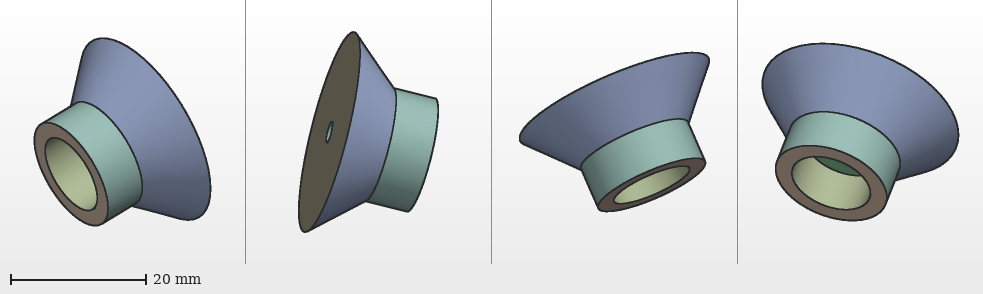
import cadquery as cq

flange_diameter = 30.48
total_length = 14.17

collar_diameter = 17.28
collar_length = 6.52
socket_diameter = 12.2
socket_depth = collar_length

through_hole_diameter = 3.17


def make_body():
    """Collar that flares in a straight cone to the flat back face."""
    half_profile = [
        (0, 0),
        (collar_diameter / 2, 0),
        (collar_diameter / 2, collar_length),
        (flange_diameter / 2, total_length),
        (0, total_length),
    ]
    return cq.Workplane("XY").polyline(half_profile).close().revolve(360, (0, 0, 0), (0, 1, 0))


def make_bore(diameter, depth):
    """Cylinder on the axis, from the collar's front face toward +Y."""
    return cq.Workplane("XZ").circle(diameter / 2).extrude(-depth)


socket = make_bore(socket_diameter, socket_depth)
through_hole = make_bore(through_hole_diameter, total_length)
result = make_body().cut(socket).cut(through_hole)